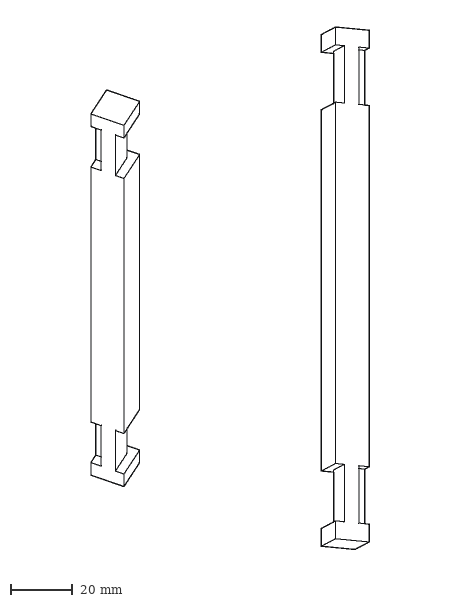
import cadquery as cq

width = 11.9
length = 170.0

head_height = 6.0
neck_height = 19.0
side_cut_depth = 3.0
notch_depth = 3.7

half_width = width / 2
neck_side = width - side_cut_depth


def make_neck_cutter(bottom):
    """Material removed around one neck, leaving an L-shaped section."""
    blank = cq.Workplane("XY").box(width, width, neck_height, centered=(True, True, False))
    neck = (
        cq.Workplane("XY")
        .box(neck_side, neck_side, neck_height, centered=False)
        .translate((-half_width, -half_width, 0))
    )
    corner_notch = (
        cq.Workplane("XY")
        .box(notch_depth, notch_depth, neck_height, centered=False)
        .translate((-half_width, -half_width, 0))
    )
    return blank.cut(neck.cut(corner_notch)).translate((0, 0, bottom))


result = cq.Workplane("XY").box(width, width, length, centered=(True, True, False))

lower_neck_bottom = head_height
upper_neck_bottom = length - head_height - neck_height
for neck_bottom in (lower_neck_bottom, upper_neck_bottom):
    result = result.cut(make_neck_cutter(neck_bottom))